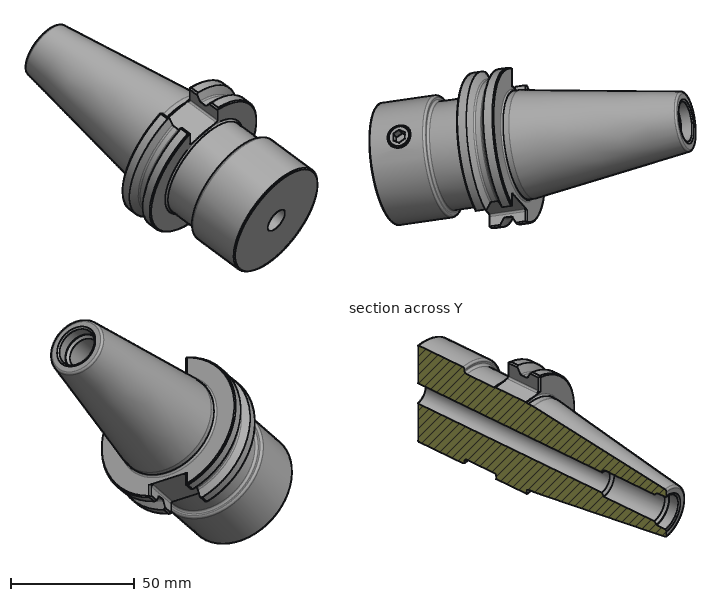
import cadquery as cq
import math


taper_length = 68.25
total_length = 127.25
head_face_x = total_length - taper_length

cut_clearance = 1.0

gauge_radius = 44.45 / 2
taper_slope = 7 / 48
small_end_radius = gauge_radius - taper_length * taper_slope
small_end_fillet = 1.0

flange_radius = 63.5 / 2
flange_start_x = 3.175
flange_width = 15.875
flange_end_x = flange_start_x + flange_width
flange_chamfer = 0.5
flange_root_fillet = 0.8
groove_center_x = 11.1
groove_floor_radius = 28.2
groove_mouth_half_width = 3.65
groove_flank_angle = math.radians(30)
groove_depth = flange_radius - groove_floor_radius
groove_floor_half_width = groove_mouth_half_width - groove_depth * math.tan(groove_flank_angle)
groove_fillet = 0.8

slot_half_width = 8.15
slot_floor_heights = {1: 22.55, -1: 24.8}
slot_corner_fillet = 0.8
slot_chamfer_width = 0.89
slot_chamfer_depth = 0.5
slot_rim_height = 29.99
slot_rim_slope = 0.5

head_radius = 25.0
head_length = 24.0
head_start_x = head_face_x - head_length
head_back_fillet = 1.0
head_face_chamfer = 0.5
neck_root_fillet = 1.0

pilot_radius = 16.43 / 2
pilot_depth = 5.0
mouth_radius = 9.1
mouth_chamfer_depth = 0.5
thread_major_radius = 15.875 / 2
thread_minor_radius = 13.5 / 2
thread_bottom_depth = 32.0
through_radius = 10.2 / 2
drill_tip_half_angle = math.radians(59)

screw_x = head_face_x - 13.0
screw_radius = 9.5 / 2
screw_hole_radius = 10.0 / 2
screw_hole_floor_y = 12.0
screw_top_y = head_radius
screw_chamfer = 0.5
socket_width = 5.0
socket_depth = 4.0


def revolve_about_x(points):
    """Solid of revolution about X of a closed (x, radius) outline."""
    outline = cq.Workplane("XZ").polyline(points).close()
    return outline.revolve(360, (0, 0, 0), (1, 0, 0))


def circle_edges(body, x, radius):
    """The circular edges about the X axis at one place and radius."""
    reach = 0.01
    box = cq.selectors.BoxSelector(
        (x - reach, -radius - reach, -radius - reach),
        (x + reach, radius + reach, radius + reach),
        boundingbox=True,
    )
    smaller = cq.selectors.BoxSelector(
        (x - reach, -radius + reach, -radius + reach),
        (x + reach, radius - reach, radius - reach),
        boundingbox=True,
    )
    return body.edges(box - smaller)


def make_blank():
    """Outer shape: taper, grooved flange, neck and head, before slots and bores."""
    chamfered_flange_radius = flange_radius - flange_chamfer
    points = [
        (-taper_length, 0),
        (-taper_length, small_end_radius),
        (0, gauge_radius),
        (flange_start_x, gauge_radius),
        (flange_start_x, chamfered_flange_radius),
        (flange_start_x + flange_chamfer, flange_radius),
        (groove_center_x - groove_mouth_half_width, flange_radius),
        (groove_center_x - groove_floor_half_width, groove_floor_radius),
        (groove_center_x + groove_floor_half_width, groove_floor_radius),
        (groove_center_x + groove_mouth_half_width, flange_radius),
        (flange_end_x - flange_chamfer, flange_radius),
        (flange_end_x, chamfered_flange_radius),
        (flange_end_x, gauge_radius),
        (head_start_x, gauge_radius),
        (head_start_x, head_radius),
        (head_face_x - head_face_chamfer, head_radius),
        (head_face_x, head_radius - head_face_chamfer),
        (head_face_x, 0),
    ]
    blank = revolve_about_x(points)
    fillets = [
        (-taper_length, small_end_radius, small_end_fillet),
        (flange_start_x, gauge_radius, flange_root_fillet),
        (groove_center_x - groove_floor_half_width, groove_floor_radius, groove_fillet),
        (groove_center_x + groove_floor_half_width, groove_floor_radius, groove_fillet),
        (flange_end_x, gauge_radius, flange_root_fillet),
        (head_start_x, gauge_radius, neck_root_fillet),
        (head_start_x, head_radius, head_back_fillet),
    ]
    for x, radius, size in fillets:
        blank = circle_edges(blank, x, radius).fillet(size)
    return blank


def make_slot(side, floor_height):
    """Cutter for one drive slot, on the +Z (side 1) or -Z (side -1) of the flange."""
    slot_top = flange_radius + cut_clearance
    rim_spread = (slot_top - slot_rim_height) / slot_rim_slope
    slot = (
        cq.Workplane("YZ", origin=(flange_start_x, 0, 0))
        .moveTo(-slot_half_width, floor_height)
        .lineTo(slot_half_width, floor_height)
        .lineTo(slot_half_width, slot_rim_height)
        .lineTo(slot_half_width + rim_spread, slot_top)
        .lineTo(-slot_half_width - rim_spread, slot_top)
        .lineTo(-slot_half_width, slot_rim_height)
        .close()
        .extrude(flange_width)
    )
    slot = slot.edges("|X and <Z").fillet(slot_corner_fillet)
    entry_half_width = slot_half_width + slot_chamfer_width
    entry = (
        cq.Workplane("XY", origin=(0, 0, floor_height))
        .moveTo(flange_start_x, -entry_half_width)
        .lineTo(flange_start_x, entry_half_width)
        .lineTo(flange_start_x + slot_chamfer_depth, slot_half_width)
        .lineTo(flange_start_x + slot_chamfer_depth, -slot_half_width)
        .close()
        .extrude(slot_top - floor_height)
    )
    slot = slot.union(entry)
    if side < 0:
        slot = slot.mirror("XY")
    return slot


def make_bore():
    """Cutter for the stud pilot, stud thread core and the hole through the holder."""
    thread_chamfer_depth = thread_major_radius - thread_minor_radius
    drill_tip_depth = (thread_minor_radius - through_radius) / math.tan(drill_tip_half_angle)
    steps = [
        (0, 0),
        (0, mouth_radius),
        (mouth_chamfer_depth, pilot_radius),
        (pilot_depth, pilot_radius),
        (pilot_depth, thread_major_radius),
        (pilot_depth + thread_chamfer_depth, thread_minor_radius),
        (thread_bottom_depth, thread_minor_radius),
        (thread_bottom_depth + drill_tip_depth, through_radius),
        (total_length, through_radius),
        (total_length, 0),
    ]
    return revolve_about_x([(depth - taper_length, radius) for depth, radius in steps])


def cylinder_along_y(radius, start_y, end_y):
    """Cylinder on the clamping screw's axis."""
    plane = cq.Workplane("XZ", origin=(screw_x, start_y, 0))
    return plane.circle(radius).extrude(start_y - end_y)


def make_holder():
    holder = make_blank()
    for side, floor_height in slot_floor_heights.items():
        holder = holder.cut(make_slot(side, floor_height))
    holder = holder.cut(make_bore())
    screw_hole = cylinder_along_y(screw_hole_radius, screw_hole_floor_y, head_radius + cut_clearance)
    return holder.cut(screw_hole)


def make_clamping_screw():
    """Headless screw with a hexagon socket, standing on the floor of its hole."""
    screw = cylinder_along_y(screw_radius, screw_hole_floor_y, screw_top_y)
    screw = screw.edges(">Y").chamfer(screw_chamfer)
    socket = (
        cq.Workplane("XZ", origin=(screw_x, screw_top_y, 0))
        .polygon(6, socket_width, circumscribed=True)
        .extrude(socket_depth)
    )
    return screw.cut(socket)


holder = make_holder()
clamping_screw = make_clamping_screw()

result = cq.Compound.makeCompound([holder.val(), clamping_screw.val()])